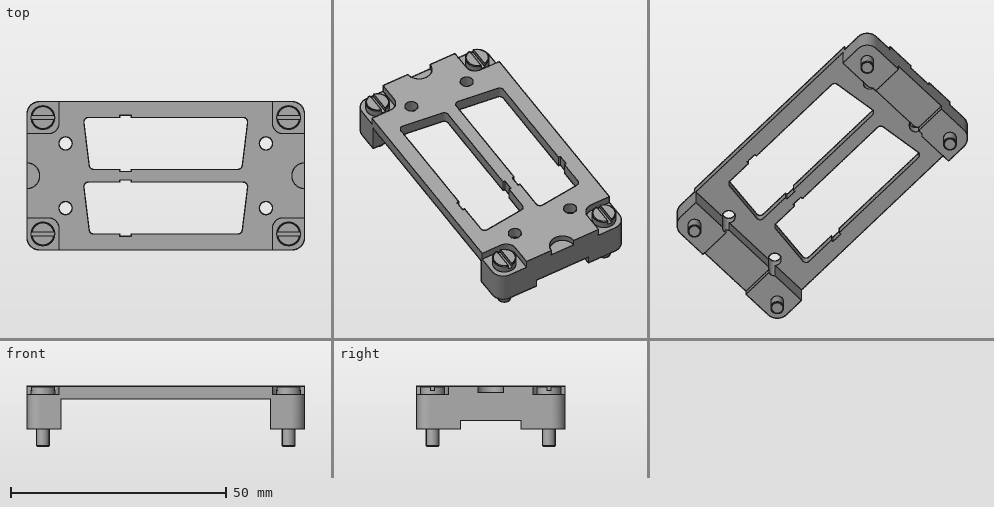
import cadquery as cq
import math

length = 64.5
width = 34.5
height = 10.0
corner_radius = 3.0
plate_thickness = 3.0
leg_length = 8.0
leg_notch_width = 14.0
leg_notch_height = 2.0

screw_inset = 3.75
pocket_size = 7.5
pocket_depth = 2.0
pocket_radius = 2.5
head_diameter = 5.5
head_chamfer = 0.2
slot_width = 1.0
slot_depth = 1.0
shank_diameter = 3.0
shank_length = 4.0
shank_chamfer = 0.2

end_recess_radius = 3.0
end_recess_depth = 1.5

window_pitch = 15.0
window_height = 12.0
window_top_length = 38.2
window_side_angle = 7.0
window_corner_radius = 1.0
window_notch_center_x = -9.35
window_notch_length = 2.6
window_notch_depth = 0.5
hole_pitch_x = 46.5
hole_diameter = 3.0

leg_height = height - plate_thickness
inner_span = length - 2 * leg_length
pocket_floor = height - pocket_depth
window_bottom_length = window_top_length - 2 * window_height * math.tan(math.radians(window_side_angle))
window_centers_y = (-window_pitch / 2, window_pitch / 2)


def make_frame():
    """Rounded block hollowed out below the plate and between the feet."""
    block = cq.Workplane("XY").box(length, width, height, centered=(True, True, False))
    block = block.edges("|Z").fillet(corner_radius)
    span = cq.Workplane("XY").box(inner_span, width, leg_height, centered=(True, True, False))
    foot_gap = cq.Workplane("XY").box(
        length, leg_notch_width, leg_notch_height, centered=(True, True, False)
    )
    return block.cut(span).cut(foot_gap)


def make_window(center_y):
    """Tapered through opening with a small notch in each long edge."""
    half_height = window_height / 2
    outline = [
        (-window_top_length / 2, center_y + half_height),
        (window_top_length / 2, center_y + half_height),
        (window_bottom_length / 2, center_y - half_height),
        (-window_bottom_length / 2, center_y - half_height),
    ]
    opening = cq.Workplane("XY").polyline(outline).close().extrude(height)
    opening = opening.edges("|Z").fillet(window_corner_radius)
    notches = (
        cq.Workplane("XY")
        .center(window_notch_center_x, center_y)
        .rect(window_notch_length, window_height + 2 * window_notch_depth)
        .extrude(height)
    )
    return opening.union(notches)


def make_mounting_holes():
    """Four through holes, one at each end of each window."""
    return (
        cq.Workplane("XY")
        .rect(hole_pitch_x, window_pitch, forConstruction=True)
        .vertices()
        .circle(hole_diameter / 2)
        .extrude(height)
    )


def make_end_recesses():
    """Two shallow discs centered on the end faces."""
    return (
        cq.Workplane("XY", origin=(0, 0, height - end_recess_depth))
        .pushPoints([(-length / 2, 0), (length / 2, 0)])
        .circle(end_recess_radius)
        .extrude(end_recess_depth)
    )


def make_corner_pocket(side_x, side_y):
    """Square cutter centered on one corner; its rounded outer corners lie clear of the frame."""
    cutter = cq.Workplane("XY", origin=(side_x * length / 2, side_y * width / 2, pocket_floor))
    cutter = cutter.rect(2 * pocket_size, 2 * pocket_size).extrude(pocket_depth)
    return cutter.edges("|Z").fillet(pocket_radius)


def make_screw(side_x, side_y):
    """Slotted cheese-head screw passing down through one leg."""
    x = side_x * (length / 2 - screw_inset)
    y = side_y * (width / 2 - screw_inset)
    head = cq.Workplane("XY", origin=(x, y, pocket_floor)).circle(head_diameter / 2).extrude(pocket_depth)
    head = head.faces(">Z").edges().chamfer(head_chamfer)
    slot = (
        cq.Workplane("XY", origin=(x, y, height - slot_depth))
        .rect(head_diameter, slot_width)
        .extrude(slot_depth)
    )
    shank = (
        cq.Workplane("XY", origin=(x, y, -shank_length))
        .circle(shank_diameter / 2)
        .extrude(shank_length + pocket_floor)
        .faces("<Z")
        .edges()
        .chamfer(shank_chamfer)
    )
    return head.cut(slot).union(shank)


result = make_frame()
for window_y in window_centers_y:
    result = result.cut(make_window(window_y))
result = result.cut(make_mounting_holes())
result = result.cut(make_end_recesses())
for x_sign in (-1, 1):
    for y_sign in (-1, 1):
        result = result.cut(make_corner_pocket(x_sign, y_sign))
        result = result.union(make_screw(x_sign, y_sign))